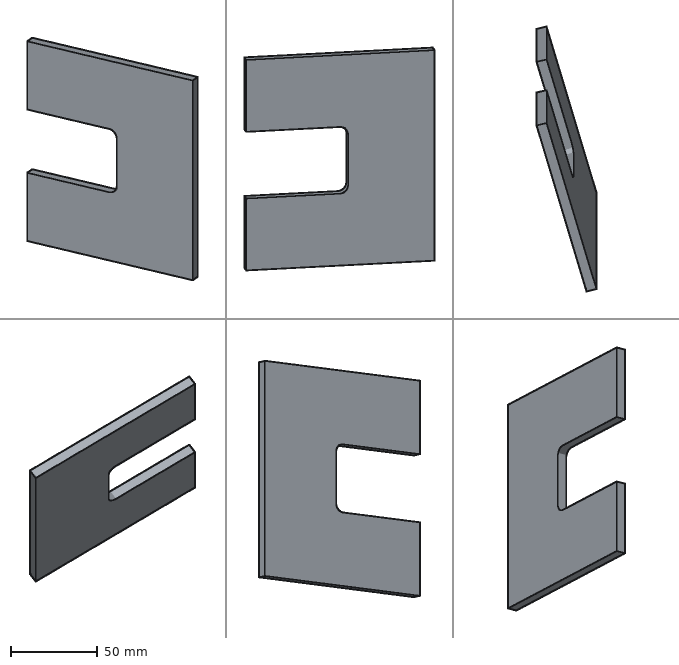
import cadquery as cq

plate_width = 111.0
plate_thickness = 6.0
plate_height = 126.5

slot_depth = 60.0
slot_height = 40.0
slot_corner_radius = 5.0


def make_plate():
    """Flat upright plate centred on the origin."""
    return cq.Workplane("XY").box(plate_width, plate_thickness, plate_height)


def make_slot_cutter():
    """Block that fills the slot, with its two inner corners rounded."""
    slot_centre_x = (slot_depth - plate_width) / 2
    return (
        cq.Workplane("XY")
        .box(slot_depth, plate_thickness, slot_height)
        .edges("|Y and >X")
        .fillet(slot_corner_radius)
        .translate((slot_centre_x, 0, 0))
    )


result = make_plate().cut(make_slot_cutter())